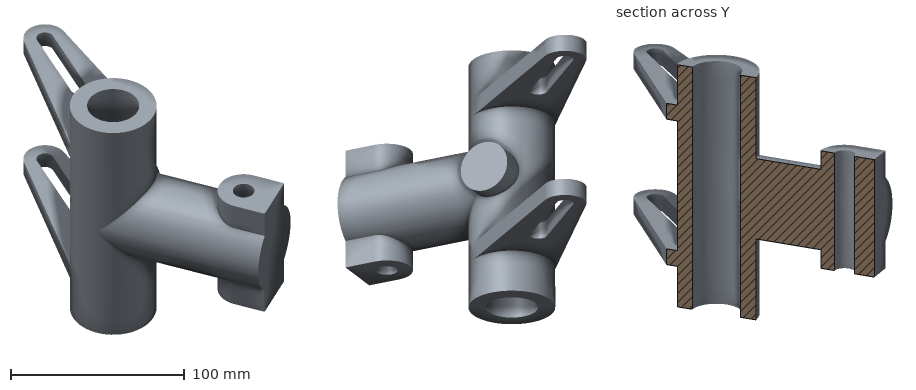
import cadquery as cq
import math

tube_diameter = 50.0
tube_radius = tube_diameter / 2
tube_height = 150.0
bore_diameter = 30.0

branch_length = 100.0

lug_width = 30.0
lug_height = 73.0
lug_hole_x = 81.0
lug_hole_diameter = 12.5

boss_diameter = 30.0
boss_reach = 35.0

arm_length = 100.0
arm_angle = 135
arm_tip_radius = 12.5
arm_thickness = 10.0
arm_spacing = 90.0
slot_inner_distance = arm_length / 2
slot_width = 9.9


def make_branch():
    return cq.Workplane("YZ").circle(tube_radius).extrude(branch_length)


def make_lug():
    """Upright lug with a round inner end and a flat end flush with the branch."""
    flat_length = branch_length - lug_hole_x
    round_end = cq.Workplane("XY").center(lug_hole_x, 0).circle(lug_width / 2).extrude(lug_height)
    flat_end = cq.Workplane("XY").box(flat_length, lug_width, lug_height, centered=(False, True, False))
    lug = round_end.union(flat_end.translate((lug_hole_x, 0, 0)))
    return lug.translate((0, 0, -lug_height / 2))


def make_boss():
    return cq.Workplane("XZ").circle(boss_diameter / 2).extrude(-boss_reach)


def make_arm():
    """Slotted arm in the XY plane, bounded by the common tangents of tube and tip."""
    tangent_angle = math.acos((tube_radius - arm_tip_radius) / arm_length)
    across = math.sin(tangent_angle)
    along = math.cos(tangent_angle)
    tip_x = arm_length + arm_tip_radius * along
    tip_y = arm_tip_radius * across
    root_x = tube_radius * along
    root_y = tube_radius * across

    plate = (
        cq.Workplane("XY")
        .moveTo(root_x, -root_y)
        .lineTo(tip_x, -tip_y)
        .threePointArc((arm_length + arm_tip_radius, 0), (tip_x, tip_y))
        .lineTo(root_x, root_y)
        .threePointArc((-tube_radius, 0), (root_x, -root_y))
        .close()
        .extrude(arm_thickness / 2, both=True)
    )
    slot_centre = (arm_length + slot_inner_distance) / 2
    slot_length = arm_length - slot_inner_distance + slot_width
    slot = (
        cq.Workplane("XY")
        .center(slot_centre, 0)
        .slot2D(slot_length, slot_width)
        .extrude(arm_thickness, both=True)
    )
    return plate.cut(slot).rotate((0, 0, 0), (0, 0, 1), arm_angle)


body = cq.Workplane("XY").circle(tube_radius).extrude(tube_height / 2, both=True)
body = body.union(make_branch()).union(make_lug()).union(make_boss())
for side in (-1, 1):
    body = body.union(make_arm().translate((0, 0, side * arm_spacing / 2)))

bore = cq.Workplane("XY").circle(bore_diameter / 2).extrude(tube_height, both=True)
lug_hole = (
    cq.Workplane("XY")
    .center(lug_hole_x, 0)
    .circle(lug_hole_diameter / 2)
    .extrude(lug_height, both=True)
)
result = body.cut(bore).cut(lug_hole)